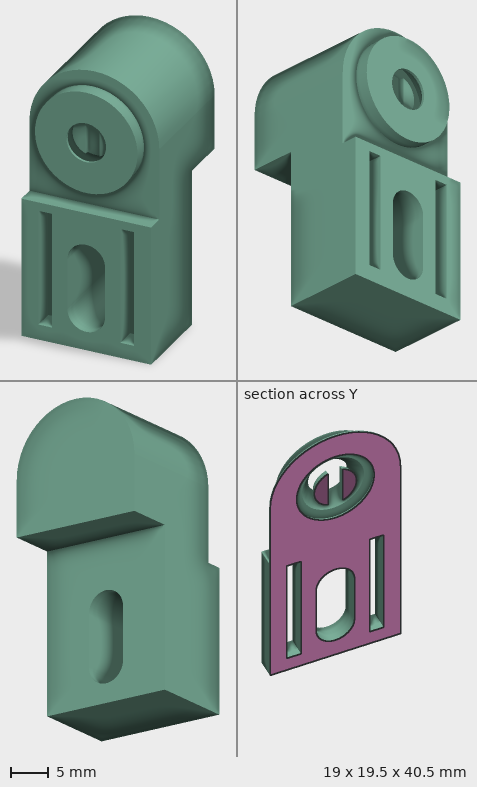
import cadquery as cq
import math

width = 19.0
total_depth = 19.5
total_height = 40.5
head_radius = width / 2
axis_height = total_height - head_radius
head_front = 2.5
head_underside = 23.0
foot_depth = 12.5
foot_height = 20.5

slot_width = 5.5
slot_length = 13.0
slot_center_height = 9.25

groove_width = 2.0
groove_length = 17.0
groove_bottom = 2.25
groove_spacing = 12.0
groove_depth = 3.0

recess_diameter = 11.2
flange_front = head_front + 1.0
flange_thickness = 2.0
recess_depth = flange_front - head_front + flange_thickness

disc_diameter = 15.0
disc_thickness = 2.0
disc_hole_diameter = 5.8
disc_lip = 0.4
countersink_depth = disc_thickness - disc_lip
countersink_diameter = disc_hole_diameter + 2 * countersink_depth

pin_radius = 5.8 / 2
pin_front = 1.9
pin_root_fillet = 1.5
driver_slot_width = 2.0
driver_slot_depth = 1.0


def axial_cylinder(diameter, front, length):
    """Cylinder along Y on the head axis, starting at Y = front."""
    center = cq.Vector(0, front, axis_height)
    return cq.Workplane(cq.Solid.makeCylinder(diameter / 2, length, center, cq.Vector(0, 1, 0)))


def make_housing():
    head = (
        cq.Workplane("XZ", origin=(0, head_front, 0))
        .moveTo(-head_radius, head_underside)
        .lineTo(-head_radius, axis_height)
        .threePointArc((0, total_height), (head_radius, axis_height))
        .lineTo(head_radius, head_underside)
        .close()
        .extrude(-(total_depth - head_front))
    )
    foot = cq.Workplane().box(width, foot_depth, foot_height, centered=(True, False, False))
    web = (
        cq.Workplane()
        .box(width, foot_depth - head_front, head_underside, centered=(True, False, False))
        .translate((0, head_front, 0))
    )
    body = head.union(foot).union(web).clean()

    slot = (
        cq.Workplane("XZ")
        .center(0, slot_center_height)
        .slot2D(slot_length, slot_width, 90)
        .extrude(-foot_depth)
    )
    body = body.cut(slot)

    for side in (-1, 1):
        groove = (
            cq.Workplane()
            .box(groove_width, groove_depth, groove_length, centered=(True, False, False))
            .translate((side * groove_spacing / 2, 0, groove_bottom))
        )
        body = body.cut(groove)

    return body.cut(axial_cylinder(recess_diameter, head_front, recess_depth))


def make_disc():
    disc = axial_cylinder(disc_diameter, 0, disc_thickness)
    disc = disc.cut(axial_cylinder(disc_hole_diameter, 0, disc_thickness))
    countersink = cq.Solid.makeCone(
        disc_hole_diameter / 2,
        countersink_diameter / 2,
        countersink_depth,
        cq.Vector(0, disc_lip, axis_height),
        cq.Vector(0, 1, 0),
    )
    return disc.cut(cq.Workplane(countersink))


def make_pin():
    flange_radius = recess_diameter / 2
    flange_back = flange_front + flange_thickness
    fillet_center_radius = pin_radius + pin_root_fillet
    fillet_start = flange_front - pin_root_fillet
    fillet_reach = pin_root_fillet * math.sqrt(0.5)
    fillet_middle = (fillet_center_radius - fillet_reach, fillet_start + fillet_reach)

    pin = (
        cq.Workplane("XY", origin=(0, 0, axis_height))
        .moveTo(0, pin_front)
        .lineTo(pin_radius, pin_front)
        .lineTo(pin_radius, fillet_start)
        .threePointArc(fillet_middle, (fillet_center_radius, flange_front))
        .lineTo(flange_radius, flange_front)
        .lineTo(flange_radius, flange_back)
        .lineTo(0, flange_back)
        .close()
        .revolve(360, (0, 0), (0, 1))
    )
    driver_slot = (
        cq.Workplane()
        .box(driver_slot_width, driver_slot_depth, recess_diameter, centered=(True, False, True))
        .translate((0, pin_front, axis_height))
    )
    return pin.cut(driver_slot)


housing = make_housing()
disc = make_disc()
pin = make_pin()

result = cq.Compound.makeCompound([housing.val(), disc.val(), pin.val()])